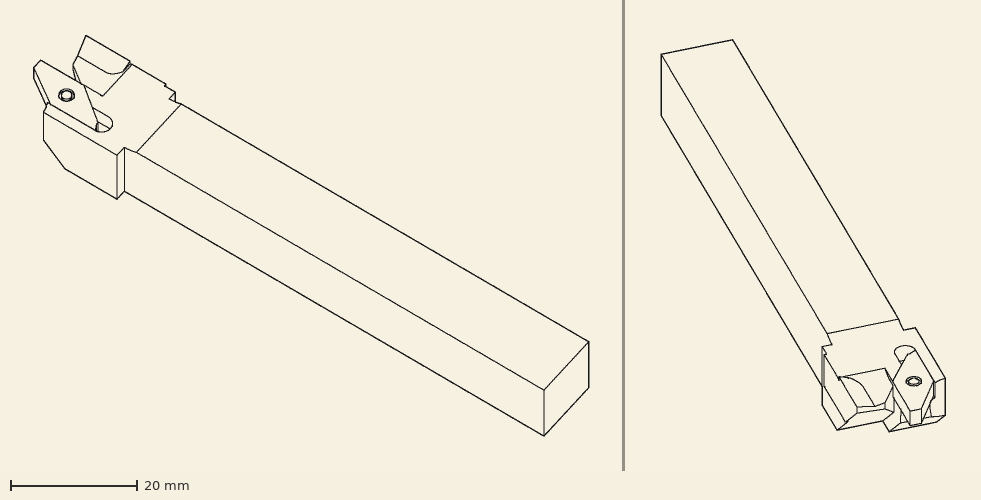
import cadquery as cq
import math

length = 103.3
total_height = 12.0
total_width = 16.0

shank_near = 2.0
shank_width = 12.0
ramp_start = 21.1
ramp_length = 2.3

head_end = 21.0
head_width = 15.6
head_top = 11.5
head_front = 6.5
nose_front = 5.1
nose_lip = 7.4
nose_outline = [(6.3, 1.0), (5.7, 2.4), (nose_front, 3.1)]
chamfer_toe = 10.7
chamfer_top = 5.4
split_y = 8.0

jaw_tip = 3.1
jaw_corner = (4.3, 10.8)
jaw_floor = 10.7
jaw_bevel_y = 12.7
jaw_heel = 11.8
relief_toe = 13.8
relief_top = 12.0
floor_end = 9.4
scoop_end = 12.2
side_rib_end = 18.8
side_rib_bottom = 5.3

insert_bottom = 8.6
insert_side = 8.2
insert_nose = 6.3
insert_shoulder = 8.5
insert_drop = 0.05
insert_end = 14.7
insert_end_side = 3.1
insert_end_width = 0.4
slot_near = 2.0
slot_width = 3.4
slot_center_x = 15.3
screw_x = 7.4
screw_y = 5.0
screw_radius = 1.2
screw_groove = 0.4
screw_depth = 0.5


def block(x0, x1, y0, y1, z0, z1):
    return cq.Workplane("XY").box(x1 - x0, y1 - y0, z1 - z0, centered=False).translate((x0, y0, z0))


def plan_prism(points, bottom, top):
    return cq.Workplane("XY").workplane(offset=bottom).polyline(points).close().extrude(top - bottom)


def side_prism(points, y0, y1):
    """Extrude an XZ outline from y0 to y1."""
    return cq.Workplane("XZ", origin=(0, y0, 0)).polyline(points).close().extrude(y0 - y1)


def concave_arc(start_x, end_x, low, high):
    """Middle and end of an arc leaving the low level tangentially along +X."""
    run = end_x - start_x
    rise = high - low
    radius = (run**2 + rise**2) / (2 * rise)
    half_angle = math.asin(run / radius) / 2
    middle = (start_x + radius * math.sin(half_angle), low + radius * (1 - math.cos(half_angle)))
    return middle, (end_x, high)


def make_shank():
    arc = concave_arc(ramp_start, ramp_start + ramp_length, head_top, total_height)
    outline = cq.Workplane("XZ", origin=(0, shank_near, 0)).moveTo(head_end, 0).lineTo(head_end, head_top)
    outline = outline.lineTo(ramp_start, head_top).threePointArc(*arc)
    return outline.lineTo(length, total_height).lineTo(length, 0).close().extrude(-shank_width)


def make_near_head():
    """Near half of the head, undercut by a 45 degree chamfer and a steep nose face."""
    outline = [(head_front, 0)] + nose_outline
    outline += [(nose_front, split_y), (head_end, split_y), (head_end, 0)]
    head = plan_prism(outline, 0, head_top)
    chamfer = [
        (0, 0), (chamfer_toe, 0), (chamfer_toe - chamfer_top, chamfer_top),
        (nose_front, nose_lip), (0, nose_lip),
    ]
    return head.cut(side_prism(chamfer, 0, split_y))


def make_far_head():
    """Far half of the head with the jaw, its sloping relief and the scooped floor."""
    edge = [(jaw_tip, total_width), jaw_corner, (insert_shoulder, split_y)]
    main = plan_prism(edge + [(head_end, split_y), (head_end, total_width)], 0, head_top)
    main = main.intersect(block(0, head_end, 0, head_width, 0, head_top))
    rib = plan_prism(edge + [(side_rib_end, split_y), (side_rib_end, total_width)],
                     side_rib_bottom, head_top)
    head = main.union(rib)

    arc = concave_arc(floor_end, scoop_end, jaw_floor, head_top)
    scoop = cq.Workplane("XZ", origin=(0, insert_side, 0)).moveTo(0, jaw_floor).lineTo(floor_end, jaw_floor)
    scoop = scoop.threePointArc(*arc).lineTo(0, head_top).close().extrude(insert_side - total_width)
    head = head.cut(scoop)

    lip = cq.Workplane("YZ", origin=(jaw_tip, 0, 0)).polyline([
        (jaw_bevel_y, jaw_floor), (total_width, total_height), (total_width, jaw_floor),
    ]).close().extrude(jaw_heel - jaw_tip)
    lip = lip.intersect(plan_prism(edge + [(jaw_heel, split_y), (jaw_heel, total_width)],
                                   jaw_floor, total_height))
    head = head.union(lip)
    relief = [(0, 0), (relief_toe, 0), (relief_toe - relief_top, relief_top), (0, relief_top)]
    return head.cut(side_prism(relief, split_y, total_width))


def make_pocket():
    """Straight slot for the insert with a round end."""
    radius = slot_width / 2
    slot = block(0, slot_center_x, slot_near, slot_near + slot_width, insert_bottom, head_top)
    end = cq.Workplane("XY", origin=(slot_center_x, slot_near + radius, insert_bottom))
    return slot.union(end.circle(radius).extrude(head_top - insert_bottom))


def make_insert(top):
    outline = [
        (0, insert_side), (0, insert_nose), (head_front, slot_near), (slot_center_x, slot_near),
        (insert_end, insert_end_side), (insert_end, insert_end_side + insert_end_width),
        (insert_shoulder, insert_side),
    ]
    return plan_prism(outline, insert_bottom, top)


def make_screw_recess():
    """Ring-shaped groove around the screw head."""
    plane = cq.Workplane("XY", origin=(screw_x, screw_y, head_top))
    return plane.circle(screw_radius).circle(screw_radius - screw_groove).extrude(-screw_depth)


result = make_near_head().union(make_far_head()).union(make_shank())
result = result.cut(make_pocket()).cut(make_insert(head_top))
result = result.union(make_insert(head_top - insert_drop)).cut(make_screw_recess())